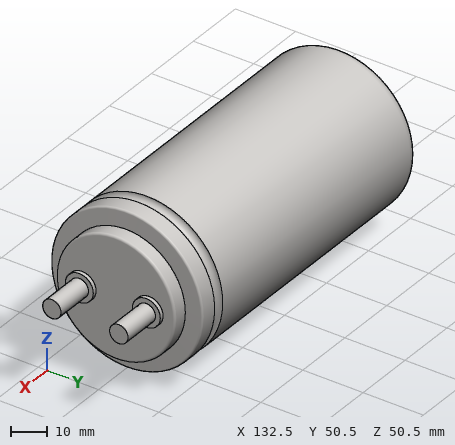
import cadquery as cq

overall_length = 132.5

can_diameter = 50.5
can_radius = can_diameter / 2
base_rounding = 3.7
rim_end = 102.0

groove_start = 93.1
groove_end = 97.0
groove_depth = 2.0

rim_rounding = 0.7
cone_end = 103.1
deck_radius = 19.7
deck_end = 108.0
deck_rounding = 0.8

stud_radius = 4.1
stud_length = 10.1

terminal_spacing = 22.3
terminal_radius = 3.0
collar_radius = 4.6
collar_height = 1.3
terminal_end = overall_length - stud_length


def cylinder_along_x(start, end, radius, y=0):
    base_plane = cq.Workplane("YZ", origin=(start, y, 0))
    return base_plane.circle(radius).extrude(end - start)


def make_body():
    """Revolve the half outline of the can, groove, rim and terminal deck about X."""
    groove_middle = (groove_start + groove_end) / 2
    outline = (
        cq.Workplane("XY")
        .lineTo(0, can_radius - base_rounding)
        .radiusArc((base_rounding, can_radius), base_rounding)
        .lineTo(groove_start, can_radius)
        .threePointArc((groove_middle, can_radius - groove_depth), (groove_end, can_radius))
        .lineTo(rim_end, can_radius)
        .radiusArc((rim_end + rim_rounding, can_radius - rim_rounding), rim_rounding)
        .lineTo(cone_end, deck_radius)
        .lineTo(deck_end - deck_rounding, deck_radius)
        .radiusArc((deck_end, deck_radius - deck_rounding), deck_rounding)
        .lineTo(deck_end, 0)
        .close()
    )
    return outline.revolve(360, (0, 0, 0), (1, 0, 0))


def make_terminal(y):
    collar = cylinder_along_x(deck_end, deck_end + collar_height, collar_radius, y)
    pin = cylinder_along_x(deck_end, terminal_end, terminal_radius, y)
    return collar.union(pin)


result = make_body().union(cylinder_along_x(-stud_length, 0, stud_radius))
for side in (-1, 1):
    result = result.union(make_terminal(side * terminal_spacing / 2))